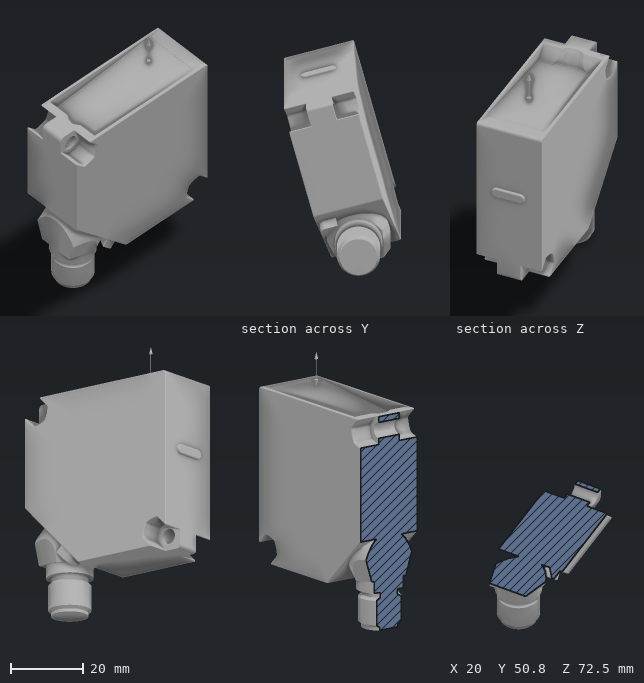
import cadquery as cq
import math


WIDTH = 20.0
DEPTH = 50.0
HEIGHT = 50.0
BASE_Z = 11.45
TOP_Z = BASE_Z + HEIGHT
CORNER_CUT = 19.0
CORNER_RADIUS = 1.0
TOP_FRONT_RADIUS = 1.5
RIM_RADIUS = 0.3

RECESS_HALF_WIDTH = 9.05
RECESS_BACK_Y = DEPTH - CORNER_RADIUS
RECESS_FLOOR_FRONT_Y = 10.5
RECESS_MOUTH_FRONT_Y = 7.8
RECESS_DEPTH = 3.8
FLOOR_SLOPE = RECESS_DEPTH / (RECESS_BACK_Y - RECESS_FLOOR_FRONT_Y)
PANEL_GAP = 0.6
PANEL_BACK_Y = 45.7
PANEL_SINK = 0.1
NOTCH_TOP_HALF = 4.6
NOTCH_TOP_Y = 6.45
NOTCH_FLOOR_HALF = 5.1
NOTCH_FLOOR_Y = 9.35

HOLE_DIAMETER = 4.4
HOLE_INSET = 4.0
POCKET_DEPTH = 6.4
POCKET_CORNER_RADIUS = 4.2
POCKET_CORNER_ANGLE = 57.0
POCKET_BULGE_RADIUS = 3.9
POCKET_WALL_ROUND = 0.9
POCKET_EDGE_RADIUS = 0.2
POCKET_RUNOUT = 10.15

LENS_LENGTH = 10.0
LENS_HEIGHT = 2.9
LENS_THICKNESS = 0.8
LENS_Z = 39.85
LENS_ROUND = 0.4

CONE_RADIUS = 8.8
CONE_HALF_ANGLE = 2.0
CONE_LENGTH = 15.95
CONE_CENTRE_Y = 9.35
CONE_CENTRE_Z = BASE_Z + CORNER_CUT - CONE_CENTRE_Y
CONE_ROOT = 1.45
ELBOW_FRONT_Y = 1.5
ELBOW_FRONT_Z = 14.6
ELBOW_UNDERSIDE_TILT = 5.0
FLAT_HALF_WIDTH = 7.3
FLAT_Z = 20.6
FLAT_TURN = 0.27
FLAT_LEAN = 0.31
TAB_HALF_WIDTH = 9.35
TAB_REACH = 9.8
TAB_LEG = 5.1
TAB_RADIUS = 1.8
TAB_LENGTH = 2.55

PLUG_Y = 8.1
COLLAR_DIAMETER = 13.2
NECK_DIAMETER = 10.4
BARREL_DIAMETER = 12.0
GROOVE_DIAMETER = 10.2
GROOVE_TOP_Z = 10.5
COLLAR_BOTTOM_Z = 10.9
COLLAR_TOP_Z = 15.95
BARREL_TOP_Z = 9.5
BARREL_BOTTOM_Z = 0.9
BARREL_CHAMFER = (BARREL_DIAMETER - NECK_DIAMETER) / 2

ARROW_Y = 36.8
ARROW_BOTTOM_Z = 62.5
ARROW_TOP_Z = 72.5
ARROW_HEAD_LENGTH = 2.0
ARROW_HEAD_DIAMETER = 1.0
ARROW_SHAFT_DIAMETER = 0.2

TOLERANCE = 0.01
LARGE = 43.5


def side_prism(points, half_width):
    """Extrude a (Y, Z) polygon evenly to both sides of the middle plane."""
    return cq.Workplane("YZ").polyline(points).close().extrude(half_width, both=True)


def make_block():
    outline = [
        (0, BASE_Z + CORNER_CUT),
        (0, TOP_Z),
        (DEPTH, TOP_Z),
        (DEPTH, BASE_Z),
        (CORNER_CUT, BASE_Z),
    ]
    block = side_prism(outline, WIDTH / 2)
    block = block.faces("<Y").edges(">Z").fillet(TOP_FRONT_RADIUS)
    block = block.faces(">Y or <Z").edges("|X").fillet(CORNER_RADIUS)
    return block.faces("<Y").edges("|X and <Z").fillet(CORNER_RADIUS)


def floor_z(y):
    return TOP_Z - FLOOR_SLOPE * (RECESS_BACK_Y - y)


def make_recess():
    profile = [
        (RECESS_BACK_Y, TOP_Z),
        (RECESS_FLOOR_FRONT_Y, floor_z(RECESS_FLOOR_FRONT_Y)),
        (RECESS_MOUTH_FRONT_Y, TOP_Z),
    ]
    return side_prism(profile, RECESS_HALF_WIDTH)


def notch_section(base_z, slope, half_width, tip_y):
    plane = cq.Plane(origin=(0, RECESS_FLOOR_FRONT_Y, base_z), xDir=(1, 0, 0), normal=(0, -slope, 1))
    return (
        cq.Workplane(plane)
        .moveTo(-half_width, 0)
        .threePointArc((0, tip_y - RECESS_FLOOR_FRONT_Y), (half_width, 0))
        .close()
        .wires()
        .val()
    )


def make_notch():
    floor = floor_z(RECESS_FLOOR_FRONT_Y)
    lower = notch_section(floor, FLOOR_SLOPE, NOTCH_FLOOR_HALF, NOTCH_FLOOR_Y)
    upper = notch_section(TOP_Z, 0, NOTCH_TOP_HALF, NOTCH_TOP_Y)
    return cq.Workplane(cq.Solid.makeLoft([lower, upper], True))


def make_panel_sink():
    """Thin layer that sinks the window panel just below the sloping floor."""
    half_width = RECESS_HALF_WIDTH - PANEL_GAP
    front_y = RECESS_FLOOR_FRONT_Y + PANEL_GAP
    outline = (
        cq.Workplane("XY", origin=(0, 0, TOP_Z - LARGE / 2))
        .moveTo(-half_width, PANEL_BACK_Y)
        .lineTo(-half_width, front_y)
        .lineTo(-NOTCH_FLOOR_HALF, front_y)
        .threePointArc((0, NOTCH_FLOOR_Y + PANEL_GAP), (NOTCH_FLOOR_HALF, front_y))
        .lineTo(half_width, front_y)
        .lineTo(half_width, PANEL_BACK_Y)
        .close()
        .extrude(LARGE)
    )
    layer = side_prism(
        [
            (0, floor_z(0) - PANEL_SINK),
            (DEPTH, floor_z(DEPTH) - PANEL_SINK),
            (DEPTH, floor_z(DEPTH)),
            (0, floor_z(0)),
        ],
        WIDTH / 2,
    )
    return layer.intersect(outline)


def make_nut_pocket(side):
    """Pocket around X-parallel hole axis at the origin; its bulging corner points to +Y, -Z."""
    def polar(radius, angle):
        return (radius * math.cos(math.radians(angle)), radius * math.sin(math.radians(angle)))

    inward = -45.0
    half_step = POCKET_CORNER_ANGLE / 2
    left = polar(POCKET_CORNER_RADIUS, inward - POCKET_CORNER_ANGLE)
    middle = polar(POCKET_CORNER_RADIUS, inward)
    right = polar(POCKET_CORNER_RADIUS, inward + POCKET_CORNER_ANGLE)
    run_y, run_z = polar(POCKET_RUNOUT, inward + 180)
    pocket = (
        cq.Workplane("YZ")
        .moveTo(*left)
        .threePointArc(polar(POCKET_BULGE_RADIUS, inward - half_step), middle)
        .threePointArc(polar(POCKET_BULGE_RADIUS, inward + half_step), right)
        .lineTo(right[0] + run_y, right[1] + run_z)
        .lineTo(left[0] + run_y, left[1] + run_z)
        .close()
        .extrude(POCKET_DEPTH)
        .edges("|X")
        .fillet(POCKET_WALL_ROUND)
        .translate((-WIDTH / 2, 0, 0))
    )
    return pocket if side < 0 else pocket.mirror("YZ")


def make_mount_cut():
    """Through hole with a nut pocket on each side, on an axis through the origin."""
    cut = cq.Workplane("YZ").circle(HOLE_DIAMETER / 2).extrude(WIDTH, both=True)
    for side in (-1, 1):
        cut = cut.union(make_nut_pocket(side))
    return cut


def cut_mounts(block):
    """Cut both mounting holes and round the pocket edges and the rims of the two sides."""
    mount_cut = make_mount_cut()
    opposite = mount_cut.rotate((0, 0, 0), (1, 0, 0), 180)
    block = block.cut(mount_cut.translate((0, HOLE_INSET, TOP_Z - HOLE_INSET)))
    block = block.cut(opposite.translate((0, DEPTH - HOLE_INSET, BASE_Z + HOLE_INSET)))
    outer_edges = block.faces("<Y or >Y or <Z or >Z").edges("|X")
    pocket_edges = outer_edges.filter(lambda edge: abs(edge.Length() - POCKET_DEPTH) < TOLERANCE)
    block = pocket_edges.fillet(POCKET_EDGE_RADIUS)
    return block.faces("<X or >X").edges().fillet(RIM_RADIUS)


def make_lens():
    return (
        cq.Workplane("XZ", origin=(0, DEPTH, LENS_Z))
        .slot2D(LENS_LENGTH, LENS_HEIGHT)
        .extrude(-LENS_THICKNESS)
        .faces(">Y")
        .edges()
        .fillet(LENS_ROUND)
    )


def elbow_plane():
    """Plane of the 45 degree cut: local x is +X, local y runs up the cut, normal outward."""
    return cq.Plane(
        origin=(0, CONE_CENTRE_Y, CONE_CENTRE_Z), xDir=(1, 0, 0), normal=(0, -1, -1)
    )


def make_flat_cut(side):
    """Everything outside one leaning side flat of the elbow."""
    plane = cq.Plane(
        origin=(side * FLAT_HALF_WIDTH, ELBOW_FRONT_Y, FLAT_Z),
        xDir=(FLAT_TURN * side, 1, 0),
        normal=(side, -FLAT_TURN, -FLAT_LEAN),
    )
    return cq.Workplane(plane).rect(LARGE, LARGE).extrude(LARGE)


def make_elbow():
    spread = math.tan(math.radians(CONE_HALF_ANGLE))
    root_radius = CONE_RADIUS - CONE_ROOT * spread
    end_radius = CONE_RADIUS + CONE_LENGTH * spread
    plane = elbow_plane()
    cone = cq.Workplane(
        cq.Solid.makeCone(
            root_radius,
            end_radius,
            CONE_ROOT + CONE_LENGTH,
            plane.toWorldCoords((0, 0, -CONE_ROOT)),
            plane.zDir,
        )
    )
    front_cut = cq.Workplane("XZ", origin=(0, ELBOW_FRONT_Y, FLAT_Z)).rect(LARGE, LARGE).extrude(LARGE)
    underside_cut = (
        cq.Workplane("XY")
        .rect(LARGE, 2 * LARGE)
        .extrude(-LARGE)
        .rotate((0, 0, 0), (1, 0, 0), -ELBOW_UNDERSIDE_TILT)
        .translate((0, ELBOW_FRONT_Y, ELBOW_FRONT_Z))
    )
    elbow = cone.cut(front_cut).cut(underside_cut)
    for side in (-1, 1):
        elbow = elbow.cut(make_flat_cut(side))
    return elbow


def make_corner_tab():
    """Triangular pad with a rounded corner beside the root of the elbow, on the +X side."""
    return (
        cq.Workplane(elbow_plane())
        .moveTo(TAB_HALF_WIDTH, TAB_LEG - TAB_REACH)
        .lineTo(TAB_HALF_WIDTH, TAB_RADIUS - TAB_REACH)
        .radiusArc((TAB_HALF_WIDTH - TAB_RADIUS, -TAB_REACH), TAB_RADIUS)
        .lineTo(TAB_HALF_WIDTH - TAB_LEG, -TAB_REACH)
        .close()
        .extrude(TAB_LENGTH)
    )


def make_plug():
    neck = NECK_DIAMETER / 2
    groove = GROOVE_DIAMETER / 2
    barrel = BARREL_DIAMETER / 2
    collar = COLLAR_DIAMETER / 2
    profile = [
        (0, 0),
        (neck, 0),
        (neck, BARREL_BOTTOM_Z),
        (barrel, BARREL_BOTTOM_Z + BARREL_CHAMFER),
        (barrel, BARREL_TOP_Z - BARREL_CHAMFER),
        (groove, BARREL_TOP_Z),
        (groove, GROOVE_TOP_Z),
        (neck, COLLAR_BOTTOM_Z),
        (collar, COLLAR_BOTTOM_Z),
        (collar, COLLAR_TOP_Z),
        (0, COLLAR_TOP_Z),
    ]
    return (
        cq.Workplane("XZ")
        .polyline(profile)
        .close()
        .revolve(360, (0, 0, 0), (0, 1, 0))
        .translate((0, PLUG_Y, 0))
    )


def make_housing():
    housing = cut_mounts(make_block())
    for cavity in (make_recess(), make_panel_sink(), make_notch()):
        housing = housing.cut(cavity)
    for addition in (make_lens(), make_elbow(), make_corner_tab(), make_plug()):
        housing = housing.union(addition)
    return housing


def make_beam_arrow():
    """Double-headed arrow along Z, as one revolved solid."""
    head = ARROW_HEAD_DIAMETER / 2
    shaft = ARROW_SHAFT_DIAMETER / 2
    lower_head_z = ARROW_BOTTOM_Z + ARROW_HEAD_LENGTH
    upper_head_z = ARROW_TOP_Z - ARROW_HEAD_LENGTH
    profile = [
        (0, ARROW_BOTTOM_Z),
        (head, lower_head_z),
        (shaft, lower_head_z),
        (shaft, upper_head_z),
        (head, upper_head_z),
        (0, ARROW_TOP_Z),
    ]
    return (
        cq.Workplane("XZ")
        .polyline(profile)
        .close()
        .revolve(360, (0, 0, 0), (0, 1, 0))
        .translate((0, ARROW_Y, 0))
    )


housing = make_housing()
beam_arrow = make_beam_arrow()
result = cq.Compound.makeCompound([housing.val(), beam_arrow.val()])